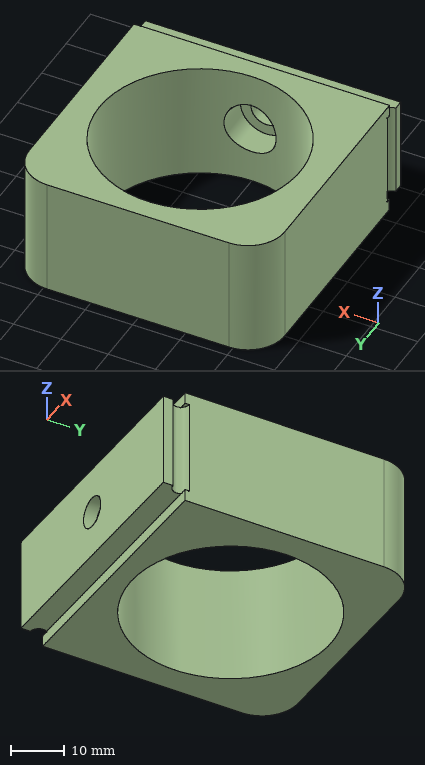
import cadquery as cq

width = 54.0
length = 55.5
height = 25.0
corner_radius = 7.8

bore_diameter = 42.5
bore_to_base = 30.0
base_y = -bore_to_base

flange_depth = 4.7
flange_height = 20.0
shoulder_y = base_y + flange_depth

groove_radius = 1.75
groove_to_base = 3.85

screw_diameter = 6.5
screw_head_diameter = 11.0
head_seat_depth = 2.75


def make_body():
    """Rectangular block with two rounded vertical edges, standing behind the flange."""
    body_length = length - flange_depth
    return (
        cq.Workplane("XY")
        .box(width, body_length, height, centered=(True, False, True))
        .edges("|Z and >Y")
        .fillet(corner_radius)
        .translate((0, shoulder_y, 0))
    )


def make_flange():
    """Lower strip projecting from the block towards -Y."""
    return (
        cq.Workplane("XY")
        .box(width, flange_depth, flange_height, centered=(True, False, True))
        .translate((0, base_y, 0))
    )


def make_grooves():
    """Vertical cylinders centred on the side faces, as tall as the flange."""
    groove_y = base_y + groove_to_base
    return (
        cq.Workplane("XY")
        .pushPoints([(side * width / 2, groove_y) for side in (-1, 1)])
        .circle(groove_radius)
        .extrude(flange_height / 2, both=True)
    )


def make_bore():
    """Through bore along Z."""
    return cq.Workplane("XY").circle(bore_diameter / 2).extrude(height / 2, both=True)


def y_cylinder(diameter, start_y):
    """Cylinder along Y from a negative start_y to the bore axis."""
    return (
        cq.Workplane("XZ", origin=(0, start_y, 0))
        .circle(diameter / 2)
        .extrude(start_y)
    )


def make_screw_hole():
    """Clearance hole from the base face, widened for the screw head on the bore side."""
    clearance = y_cylinder(screw_diameter, base_y)
    head_recess = y_cylinder(screw_head_diameter, base_y + head_seat_depth)
    return clearance.union(head_recess)


result = (
    make_body()
    .union(make_flange())
    .cut(make_bore())
    .cut(make_grooves())
    .cut(make_screw_hole())
)